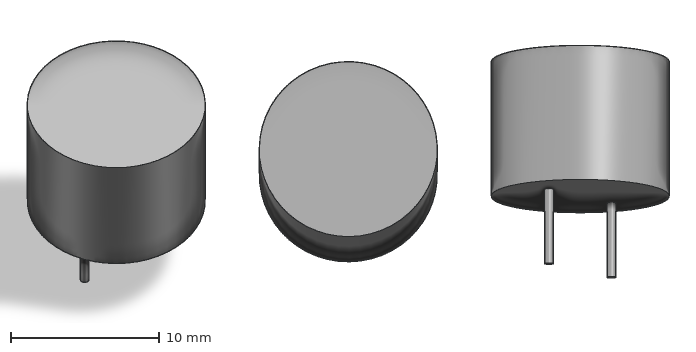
import cadquery as cq

HOUSING_DIAMETER = 12.0
HOUSING_HEIGHT = 9.2
PIN_DIAMETER = 0.6
PIN_LENGTH = 5.1
PIN_PITCH = 6.5


def make_housing():
    """Plain cylindrical can standing on the Z = 0 plane."""
    return cq.Workplane("XY").circle(HOUSING_DIAMETER / 2).extrude(HOUSING_HEIGHT)


def make_pin(y):
    """Round lead that hangs from the flat underside of the housing."""
    return cq.Workplane("XY").center(0, y).circle(PIN_DIAMETER / 2).extrude(-PIN_LENGTH)


housing = make_housing()

pins = [make_pin(side * PIN_PITCH / 2) for side in (-1, 1)]

result = cq.Compound.makeCompound([housing.val(), *[pin.val() for pin in pins]])